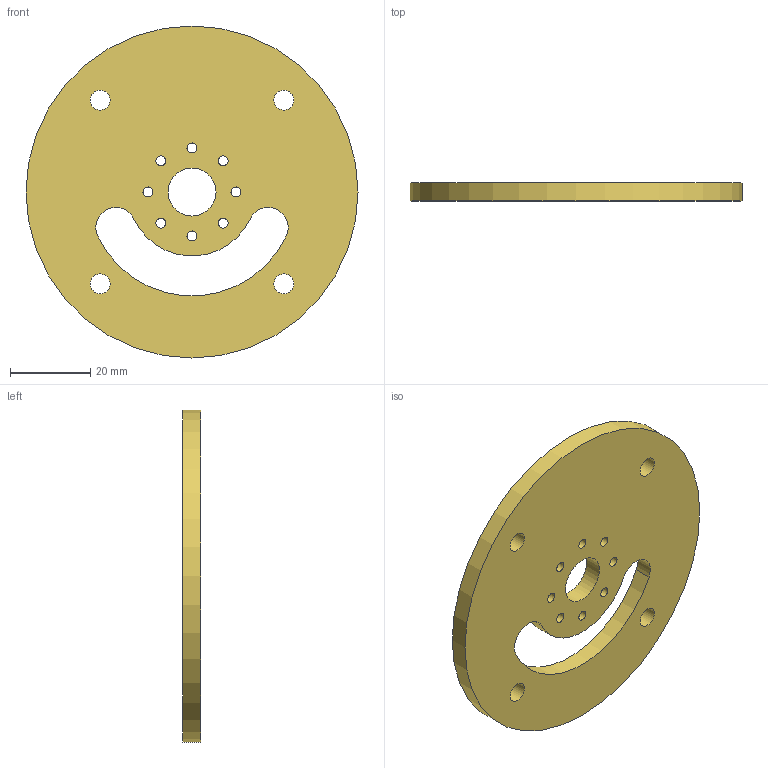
import cadquery as cq
import math

disc_diameter = 83.0
thickness = 4.5
bore_diameter = 12.0

ring_hole_count = 8
ring_hole_diameter = 2.5
ring_radius = 11.0

mount_hole_diameter = 5.0
mount_circle_radius = 32.5
mount_hole_count = 4
mount_start_angle = 45.0

slot_center_radius = 21.0
slot_width = 10.0
slot_end_drop_angle = 25.0


def polar_point(radius, angle_degrees):
    """Point in the disc plane at a radius and angle from the disc centre."""
    angle = math.radians(angle_degrees)
    return (radius * math.cos(angle), radius * math.sin(angle))


def disc_plane():
    """Plane of the disc's back face; its normal points toward -Y."""
    return cq.Workplane("XZ", origin=(0, thickness / 2, 0))


def make_disc():
    return disc_plane().circle(disc_diameter / 2).extrude(thickness)


def make_bore():
    return disc_plane().circle(bore_diameter / 2).extrude(thickness)


def make_hole_circle(circle_radius, hole_diameter, count, start_angle):
    """Cutters for equally spaced through holes."""
    return (
        disc_plane()
        .polarArray(circle_radius, start_angle, 360, count)
        .circle(hole_diameter / 2)
        .extrude(thickness)
    )


def make_slot():
    """Cutter for the arc slot, symmetric about the vertical centre line."""
    inner_radius = slot_center_radius - slot_width / 2
    outer_radius = slot_center_radius + slot_width / 2
    bottom_angle = -90
    right_angle = -slot_end_drop_angle
    left_angle = -180 + slot_end_drop_angle
    right_x, right_z = polar_point(slot_center_radius, right_angle)
    tip_x, tip_z = polar_point(slot_width / 2, right_angle + 90)
    right_tip = (right_x + tip_x, right_z + tip_z)
    left_tip = (-right_tip[0], right_tip[1])
    return (
        disc_plane()
        .moveTo(*polar_point(outer_radius, left_angle))
        .threePointArc(polar_point(outer_radius, bottom_angle), polar_point(outer_radius, right_angle))
        .threePointArc(right_tip, polar_point(inner_radius, right_angle))
        .threePointArc(polar_point(inner_radius, bottom_angle), polar_point(inner_radius, left_angle))
        .threePointArc(left_tip, polar_point(outer_radius, left_angle))
        .close()
        .extrude(thickness)
    )


ring_holes = make_hole_circle(ring_radius, ring_hole_diameter, ring_hole_count, 0)
mount_holes = make_hole_circle(
    mount_circle_radius, mount_hole_diameter, mount_hole_count, mount_start_angle
)

result = make_disc().cut(make_bore()).cut(ring_holes).cut(mount_holes).cut(make_slot())